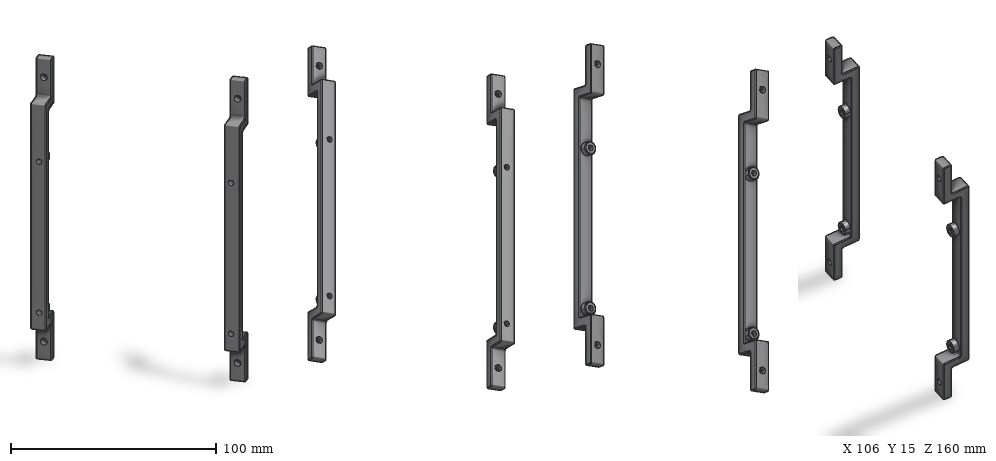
import cadquery as cq

height = 160.0
pair_width = 106.0
depth = 15.0

bar_width = 8.0
bar_thickness = 5.0
tab_length = 20.0
corner_radius = 1.0
edge_chamfer = 0.5

tab_hole_diameter = 3.4
tab_hole_end_distance = 10.0

boss_diameter = 6.5
boss_height = 3.5
boss_chamfer = 0.5
screw_hole_diameter = 2.7
screw_spacing = 80.0
upper_screw_z = 29.6
screw_inward_offset = 0.5

bar_center_x = (pair_width - bar_width) / 2
half_height = height / 2
shoulder_z = half_height - tab_length
shelf_z = shoulder_z - bar_thickness
bar_front_y = -depth / 2
bar_back_y = bar_front_y + bar_thickness
tab_back_y = depth / 2
tab_front_y = tab_back_y - bar_thickness
tab_hole_zs = [side * (half_height - tab_hole_end_distance) for side in (1, -1)]
screw_zs = [upper_screw_z, upper_screw_z - screw_spacing]


def cranked_bar(center_x):
    """Bar with its two end tabs set back, corners rounded and rim edges chamfered."""
    upper_front = [(bar_front_y, shoulder_z), (tab_front_y, shoulder_z), (tab_front_y, half_height)]
    upper_back = [(tab_back_y, half_height), (tab_back_y, shelf_z), (bar_back_y, shelf_z)]
    upper_half = upper_front + upper_back
    lower_half = [(y, -z) for y, z in reversed(upper_half)]
    bar = (
        cq.Workplane("YZ", origin=(center_x, 0, 0))
        .polyline(upper_half + lower_half)
        .close()
        .extrude(bar_width / 2, both=True)
    )
    bar = bar.edges("|X").fillet(corner_radius)
    return bar.faces("<X or >X").chamfer(edge_chamfer)


def cylinder_along_y(x, z, start_y, length, diameter):
    """Cylinder running from start_y toward +Y."""
    start = cq.Workplane("XZ", origin=(x, start_y, z))
    return start.circle(diameter / 2).extrude(-length)


def screw_boss(center_x, screw_x, z):
    """Round boss on the back of the bar, trimmed flat where it would overhang the chamfered edge."""
    boss = cylinder_along_y(screw_x, z, bar_back_y, boss_height, boss_diameter)
    boss = boss.faces(">Y").edges().chamfer(boss_chamfer)
    back_face_width = bar_width - 2 * edge_chamfer
    back_face_limit = cq.Workplane("XY", origin=(center_x, 0, 0)).box(back_face_width, depth, height)
    return boss.intersect(back_face_limit)


def bracket(side):
    """One bracket of the pair; side is -1 at -X and +1 at +X."""
    center_x = side * bar_center_x
    screw_x = center_x - side * screw_inward_offset
    body = cranked_bar(center_x)
    for z in screw_zs:
        body = body.union(screw_boss(center_x, screw_x, z))
        body = body.cut(cylinder_along_y(screw_x, z, bar_front_y, depth, screw_hole_diameter))
    for z in tab_hole_zs:
        body = body.cut(cylinder_along_y(center_x, z, bar_front_y, depth, tab_hole_diameter))
    return body


brackets = [bracket(side) for side in (-1, 1)]
result = cq.Compound.makeCompound([body.val() for body in brackets])